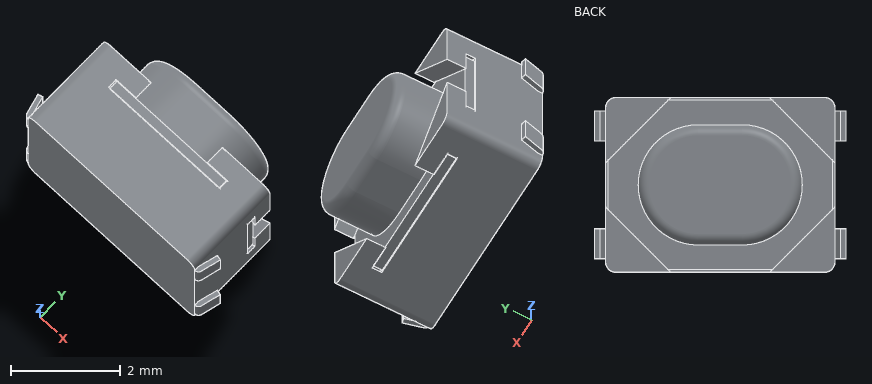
import cadquery as cq
import math

housing_width = 4.2
housing_height = 3.2
housing_depth = 2.0
housing_corner_radius = 0.2

lip_depth = 0.4
recess_top_opening = 1.8
recess_floor = housing_depth - lip_depth

plate_thickness = 0.2
pocket_top_opening = 2.8
plate_inset = 0.05
pocket_floor = recess_floor - plate_thickness

button_length = 3.0
button_height = 2.2
button_top = 2.7
button_edge_radius = 0.2

overall_width = 4.6
terminal_thickness = 0.1
terminal_width = 0.55
terminal_offset = 1.075
terminal_tilt = math.radians(14.5)


def prism(sketch, start, length):
    """Extrude an XZ outline along +Y from the given Y position."""
    return sketch.extrude(-length).translate((0, start, 0))


def octagonal_block(top_opening, start, length, inset=0):
    """Housing-sized block with 45-degree corners and all sides moved inward by inset.

    top_opening is the length of the flat +Z edge before the inset.
    """
    full_chamfer = (housing_width - top_opening) / 2
    chamfer = full_chamfer - inset * (2 - math.sqrt(2))
    outline = cq.Workplane("XZ").rect(housing_width - 2 * inset, housing_height - 2 * inset)
    return prism(outline, start, length).edges("|Y").chamfer(chamfer)


def make_housing():
    outline = cq.Workplane("XZ").rect(housing_width, housing_height)
    block = prism(outline, 0, housing_depth).edges("|Y").fillet(housing_corner_radius)
    recess = octagonal_block(recess_top_opening, recess_floor, lip_depth)
    pocket = octagonal_block(pocket_top_opening, pocket_floor, plate_thickness)
    return block.cut(recess).cut(pocket)


def make_plate():
    return octagonal_block(pocket_top_opening, pocket_floor, plate_thickness, plate_inset)


def make_button():
    outline = cq.Workplane("XZ").slot2D(button_length, button_height)
    body = prism(outline, recess_floor, button_top - recess_floor)
    return body.faces(">Y").edges().fillet(button_edge_radius)


def make_terminal(side, z_center):
    """Strip that leaves the side wall, bends through an arc and rises at a slight outward tilt."""
    wall = housing_width / 2
    thickness = terminal_thickness
    sine = math.sin(terminal_tilt)
    cosine = math.cos(terminal_tilt)
    leg_length = (overall_width / 2 - wall - thickness * cosine) / sine
    leg_x = leg_length * sine
    leg_y = leg_length * cosine
    mid_angle = (math.pi / 2 + terminal_tilt) / 2
    bend_middle = (
        wall + thickness * math.cos(mid_angle),
        thickness - thickness * math.sin(mid_angle),
    )
    bend_end = (wall + thickness * cosine, thickness - thickness * sine)
    strip = (
        cq.Workplane("XY")
        .moveTo(wall, thickness)
        .lineTo(wall, 0)
        .threePointArc(bend_middle, bend_end)
        .lineTo(bend_end[0] + leg_x, bend_end[1] + leg_y)
        .lineTo(wall + leg_x, thickness + leg_y)
        .close()
        .extrude(terminal_width / 2, both=True)
    )
    if side < 0:
        strip = strip.mirror("YZ")
    return strip.translate((0, 0, z_center))


housing = make_housing()
plate = make_plate()
button = make_button()
terminals = [
    make_terminal(side, z_center).val()
    for side in (-1, 1)
    for z_center in (-terminal_offset, terminal_offset)
]

result = cq.Compound.makeCompound([housing.val(), plate.val(), button.val(), *terminals])